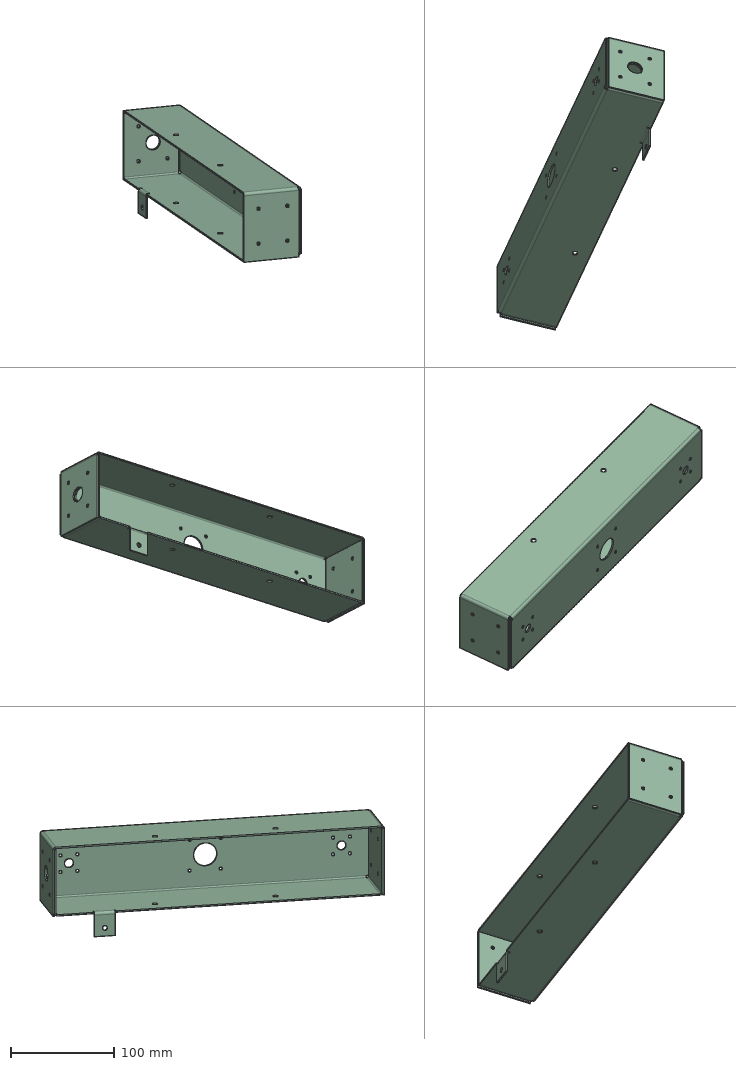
import cadquery as cq


length = 330.0
depth = 60.0
total_height = 93.5

sheet = 1.52
inner_radius = 1.5
outer_radius = sheet + inner_radius

tab_drop = 23.5
box_height = total_height - tab_drop
tab_width = 20.8
tab_x = -113.2
tab_relief_width = 0.82
tab_relief_depth = outer_radius + 0.5

wall_gap = 0.2
corner_clearance = 0.3

outer_wall_x = length / 2
inner_wall_x = outer_wall_x - sheet - wall_gap
top_fold_x = outer_wall_x - outer_radius
bottom_fold_x = inner_wall_x - outer_radius
end_wall_depth = depth - outer_radius - corner_clearance
inner_wall_top = box_height - outer_radius

back_x = outer_wall_x - sheet

middle_z = box_height / 2
screw_hole = 3.0
center_bore = 23.0
center_screw_pitch = 31.0
side_bore = 9.0
side_bore_x = 135.5
side_screw_pitch = 16.8

panel_hole = 5.0
panel_hole_x = 60.0
panel_hole_y = 15.2

middle_y = depth / 2
end_bore = 15.0
end_screw_hole = 3.3
end_screw_pitch_y = 30.0
end_screw_pitch_z = 35.0

tab_hole = 4.5
tab_hole_z = -15.2


def block(x0, x1, y0, y1, z0, z1):
    """Box between two opposite corners."""
    return cq.Workplane("XY").box(x1 - x0, y1 - y0, z1 - z0, centered=False).translate((x0, y0, z0))


def folded_shell(outside, inside, folded_edges):
    """Sheet between two blocks whose chosen edges are rounded as folds."""
    rounded_outside = outside.edges(folded_edges).fillet(outer_radius)
    rounded_inside = inside.edges(folded_edges).fillet(inner_radius)
    return rounded_outside.cut(rounded_inside)


def channel():
    """Top, back and bottom panels with the two long folds between them."""
    outside = block(-top_fold_x, top_fold_x, 0, depth, 0, box_height)
    inside = block(-top_fold_x, top_fold_x, 0, depth - sheet, sheet, box_height - sheet)
    shell = folded_shell(outside, inside, "|X and >Y")
    right_corner = block(bottom_fold_x, top_fold_x, 0, depth, 0, outer_radius)
    return shell.cut(right_corner).cut(right_corner.mirror("YZ"))


def back_panel():
    """Flat part of the back, reaching past the ends of the long folds."""
    return block(-back_x, back_x, depth - sheet, depth, outer_radius, box_height - outer_radius)


def outer_end_walls():
    """End walls folded down from the top panel."""
    inside_x = outer_wall_x - sheet
    outside = block(-outer_wall_x, outer_wall_x, 0, end_wall_depth, 0, box_height)
    inside = block(-inside_x, inside_x, 0, end_wall_depth, 0, box_height - sheet)
    return folded_shell(outside, inside, "|Y and >Z")


def inner_end_walls():
    """End walls folded up from the bottom panel, inside the outer ones."""
    inside_x = inner_wall_x - sheet
    outside = block(-inner_wall_x, inner_wall_x, 0, end_wall_depth, 0, inner_wall_top)
    inside = block(-inside_x, inside_x, 0, end_wall_depth, sheet, inner_wall_top)
    return folded_shell(outside, inside, "|Y and <Z")


def tab():
    """Strip of the bottom panel folded down at the front edge."""
    x0 = tab_x - tab_width / 2
    x1 = tab_x + tab_width / 2
    root = 2 * tab_relief_depth
    outside = block(x0, x1, 0, root, -tab_drop, sheet)
    inside = block(x0, x1, sheet, root, -tab_drop, 0)
    return folded_shell(outside, inside, "|X and >Z and <Y")


def tab_relief():
    """Opening in the bottom panel that leaves a slit on each side of the tab."""
    half_width = tab_width / 2 + tab_relief_width
    return block(tab_x - half_width, tab_x + half_width, 0, tab_relief_depth, 0, sheet)


def drill(plane, centers, diameter):
    """Round cutters through the whole part, along the normal of a plane."""
    return cq.Workplane(plane).pushPoints(centers).circle(diameter / 2).extrude(length, both=True)


def four_around(u, v, pitch_u, pitch_v):
    """Corners of a rectangle around a centre."""
    return [(u + i * pitch_u / 2, v + j * pitch_v / 2) for i in (-1, 1) for j in (-1, 1)]


result = channel().union(back_panel()).union(outer_end_walls()).union(inner_end_walls())
result = result.cut(tab_relief()).union(tab())

back_bores = [
    (0, center_bore, center_screw_pitch),
    (-side_bore_x, side_bore, side_screw_pitch),
    (side_bore_x, side_bore, side_screw_pitch),
]
for bore_x, bore, pitch in back_bores:
    result = result.cut(drill("XZ", [(bore_x, middle_z)], bore))
    result = result.cut(drill("XZ", four_around(bore_x, middle_z, pitch, pitch), screw_hole))

panel_centers = [(-panel_hole_x, panel_hole_y), (panel_hole_x, panel_hole_y)]
result = result.cut(drill("XY", panel_centers, panel_hole))

end_screws = four_around(middle_y, middle_z, end_screw_pitch_y, end_screw_pitch_z)
result = result.cut(drill("YZ", end_screws, end_screw_hole))
left_bore = cq.Workplane("YZ").center(middle_y, middle_z).circle(end_bore / 2).extrude(-length)
result = result.cut(left_bore)

result = result.cut(drill("XZ", [(tab_x, tab_hole_z)], tab_hole))